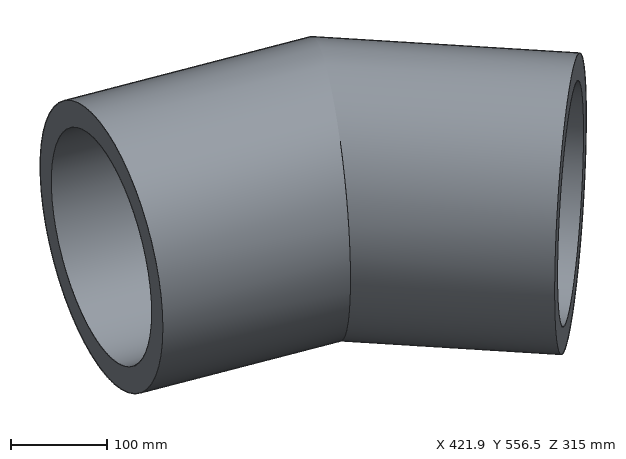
import cadquery as cq
import math

outer_diameter = 315.0
wall_thickness = 29.0
leg_length = 256.0
bend_angle = math.radians(30)

inner_diameter = outer_diameter - 2 * wall_thickness

joint = (0, leg_length)
far_end = (
    leg_length * math.sin(bend_angle),
    leg_length * (1 + math.cos(bend_angle)),
)
centreline = cq.Workplane("XY").polyline([(0, 0), joint, far_end])

pipe_section = cq.Workplane("XZ").circle(outer_diameter / 2).circle(inner_diameter / 2)
result = pipe_section.sweep(centreline, transition="right")